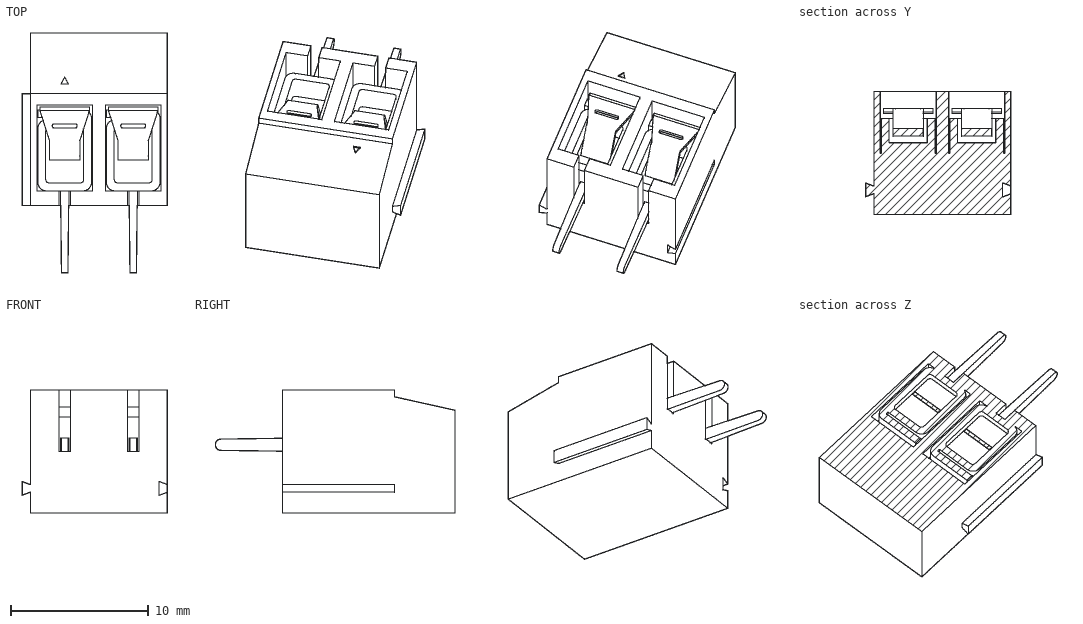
import cadquery as cq
import math


body_width = 10.0
body_depth = 12.6
body_height = 9.0
step_y = 8.19
slope_top_z = 8.49
slope_back_z = 7.5

pole_count = 2
pitch = body_width / pole_count
pole_centers = [pitch * (i + 0.5) for i in range(pole_count)]

rail_reach = 0.61
rail_length = 8.17
rail_z = 1.8
rail_outer_height = 1.02
rail_neck_height = 0.56

pocket_width = 4.06
pocket_front_y = 1.08
pocket_back_y = 7.33
pocket_floor_z = 4.48
slot_width = 0.82

cage_width = 3.92
cage_back_y = 7.0
cage_top_z = 7.02
cage_wall = 0.58
cage_radius = 0.63
cage_inner_radius = 0.25
lap_gap = 0.15
loop_back_y = cage_back_y - cage_wall - lap_gap

tongue_top_z = 7.74
tongue_sheet = 0.26
tongue_back_y = 7.21
tongue_break_y = 6.95
tongue_back_drop = 0.1
tongue_bend_y = 4.76
tongue_tip_y = 3.32
tongue_bend_radius = 0.28
tongue_angle = math.radians(63)
tongue_back_width = 3.62
tongue_front_width = 2.22
window_length = 1.82
window_width = 0.3
window_y = 5.83

tongue_corner_y = tongue_bend_y - tongue_bend_radius * math.tan(tongue_angle / 2)
cage_floor_z = tongue_top_z - (tongue_corner_y - tongue_tip_y) * math.tan(tongue_angle)

pin_reach = 4.9
pin_z = 4.99
pin_base_width = 0.6
pin_tip_width = 0.49
pin_base_height = 0.96
pin_tip_radius = 0.42

mark_width = 0.52
mark_front_y = 8.89
mark_length = 0.49
mark_depth = 0.1


def box(x_min, x_max, y_min, y_max, z_min, z_max):
    size = (x_max - x_min, y_max - y_min, z_max - z_min)
    return cq.Workplane("XY").box(*size, centered=False).translate((x_min, y_min, z_min))


def dovetail(x_root):
    """Dovetail bar that widens toward -X, with its narrow neck at x_root."""
    x_outer = x_root - rail_reach
    return (
        cq.Workplane("XZ")
        .polyline([
            (x_root, rail_z - rail_neck_height / 2),
            (x_root, rail_z + rail_neck_height / 2),
            (x_outer, rail_z + rail_outer_height / 2),
            (x_outer, rail_z - rail_outer_height / 2),
        ])
        .close()
        .extrude(-rail_length)
    )


def roof_mark():
    """Triangular prism that reaches mark_depth below the sloping roof."""
    roof_fall = (slope_top_z - slope_back_z) / (body_depth - step_y)
    mark_back_y = mark_front_y + mark_length
    front_z = slope_top_z - roof_fall * (mark_front_y - step_y) - mark_depth
    back_z = front_z - roof_fall * mark_length
    x_mid = pole_centers[0]
    triangle = (
        cq.Workplane("XY")
        .polyline([
            (x_mid - mark_width / 2, mark_front_y),
            (x_mid + mark_width / 2, mark_front_y),
            (x_mid, mark_back_y),
        ])
        .close()
        .extrude(body_height)
    )
    above_floor = (
        cq.Workplane("YZ", origin=(x_mid - mark_width / 2, 0, 0))
        .polyline([
            (mark_front_y, front_z),
            (mark_back_y, back_z),
            (mark_back_y, body_height),
            (mark_front_y, body_height),
        ])
        .close()
        .extrude(mark_width)
    )
    return triangle.intersect(above_floor)


def housing():
    body = (
        cq.Workplane("YZ")
        .polyline([
            (0, 0),
            (body_depth, 0),
            (body_depth, slope_back_z),
            (step_y, slope_top_z),
            (step_y, body_height),
            (0, body_height),
        ])
        .close()
        .extrude(body_width)
    )
    body = body.union(dovetail(0)).cut(dovetail(body_width)).cut(roof_mark())
    for x in pole_centers:
        half_pocket = pocket_width / 2
        half_slot = slot_width / 2
        body = body.cut(box(x - half_pocket, x + half_pocket, pocket_front_y, pocket_back_y,
                            pocket_floor_z, body_height))
        body = body.cut(box(x - half_slot, x + half_slot, 0, pocket_front_y,
                            pocket_floor_z, body_height))
    return body


def rounded_block(half_width, y_min, y_max, z_min, radius):
    block = box(-half_width, half_width, y_min, y_max, z_min, cage_top_z)
    return block.edges("|Z").fillet(radius)


def cage():
    """Clamp cage of a pole centered on X = 0."""
    half_width = cage_width / 2
    half_opening = half_width - cage_wall
    loop = rounded_block(half_width, pocket_front_y, loop_back_y, pocket_floor_z, cage_radius)
    lap_front_y = cage_back_y - cage_wall
    lap = box(-half_width, half_width, lap_front_y, cage_back_y, pocket_floor_z, cage_top_z)
    right_wall = box(half_opening, half_width, loop_back_y - cage_radius, cage_back_y,
                     pocket_floor_z, cage_top_z)
    strap_end = lap.union(right_wall).edges("|Z and >X and >Y").fillet(cage_radius)
    opening = rounded_block(half_opening, pocket_front_y + cage_wall, loop_back_y - cage_wall,
                            cage_floor_z, cage_inner_radius)
    return loop.union(strap_end).cut(opening)


def tongue():
    """Bent tongue of a pole centered on X = 0."""
    half_back = tongue_back_width / 2
    half_front = tongue_front_width / 2
    bottom_z = tongue_top_z - tongue_sheet
    bend_center_z = tongue_top_z - tongue_bend_radius

    def on_bend(angle):
        return (tongue_bend_y - tongue_bend_radius * math.sin(angle),
                bend_center_z + tongue_bend_radius * math.cos(angle))

    sheet = (
        cq.Workplane("YZ", origin=(-half_back, 0, 0))
        .moveTo(tongue_back_y, tongue_top_z - tongue_back_drop)
        .lineTo(tongue_break_y, tongue_top_z)
        .lineTo(tongue_bend_y, tongue_top_z)
        .threePointArc(on_bend(tongue_angle / 2), on_bend(tongue_angle))
        .lineTo(tongue_tip_y, cage_floor_z)
        .lineTo(tongue_tip_y + tongue_sheet / math.sin(tongue_angle), cage_floor_z)
        .lineTo(tongue_corner_y + tongue_sheet * math.tan(tongue_angle / 2), bottom_z)
        .lineTo(tongue_break_y, bottom_z)
        .lineTo(tongue_back_y, bottom_z - tongue_back_drop)
        .close()
        .extrude(tongue_back_width)
    )
    outline = (
        cq.Workplane("XY")
        .polyline([
            (-half_front, tongue_tip_y),
            (half_front, tongue_tip_y),
            (half_front, tongue_bend_y),
            (half_back, tongue_break_y),
            (half_back, tongue_back_y),
            (-half_back, tongue_back_y),
            (-half_back, tongue_break_y),
            (-half_front, tongue_bend_y),
        ])
        .close()
        .extrude(body_height)
    )
    window = (
        cq.Workplane("XY", origin=(0, window_y, 0))
        .slot2D(window_length, window_width)
        .extrude(body_height)
    )
    return sheet.intersect(outline).cut(window)


def pin():
    """Pin of a pole centered on X = 0, tapered in both directions to a round end."""
    half_base = pin_base_width / 2
    half_tip = pin_tip_width / 2
    half_height = pin_base_height / 2
    round_y = pin_tip_radius - pin_reach
    side = (
        cq.Workplane("YZ", origin=(-half_base, 0, 0))
        .moveTo(pocket_front_y, pin_z - half_height)
        .lineTo(pocket_front_y, pin_z + half_height)
        .lineTo(0, pin_z + half_height)
        .lineTo(round_y, pin_z + pin_tip_radius)
        .threePointArc((-pin_reach, pin_z), (round_y, pin_z - pin_tip_radius))
        .lineTo(0, pin_z - half_height)
        .close()
        .extrude(pin_base_width)
    )
    outline = (
        cq.Workplane("XY")
        .polyline([
            (-half_base, pocket_front_y),
            (half_base, pocket_front_y),
            (half_base, 0),
            (half_tip, -pin_reach),
            (-half_tip, -pin_reach),
            (-half_base, 0),
        ])
        .close()
        .extrude(body_height)
    )
    return side.intersect(outline)


contact = cage().union(tongue()).union(pin())

result = housing()
for center in pole_centers:
    result = result.union(contact.translate((center, 0, 0)))